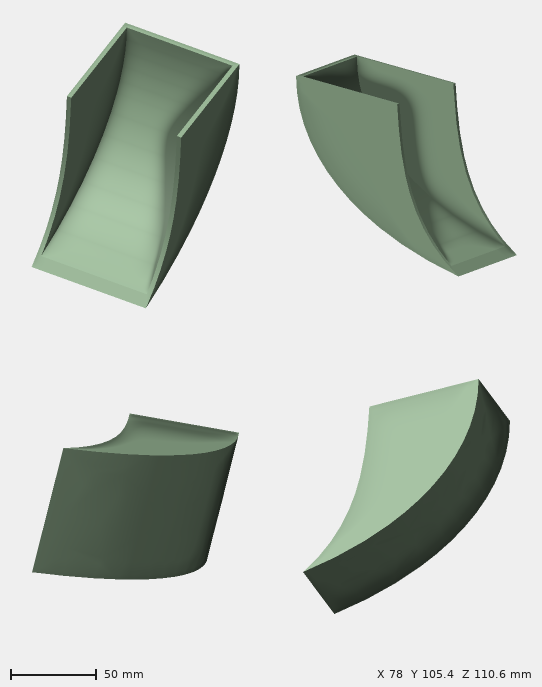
import cadquery as cq

width = 78.0
depth = 105.4
height = 110.6
wall = 3.0

tip = (0.0, 0.0)
back_top = (depth, height)
front_top = (39.8, 98.9)

back_handle = (depth, 63.7)
floor_handle = (65.0, 22.6)
front_lower_handle = (33.4, 27.8)
front_upper_handle = (37.6, 64.0)


def make_solid_scoop():
    """Full-width body bounded by the curved back, curved front and sloping rim."""
    return (
        cq.Workplane("YZ", origin=(-width / 2, 0, 0))
        .moveTo(*back_top)
        .bezier([back_top, back_handle, floor_handle, tip])
        .bezier([tip, front_lower_handle, front_upper_handle, front_top])
        .close()
        .extrude(width)
    )


scoop = make_solid_scoop()
front_middle = (0.0, front_upper_handle[0], front_upper_handle[1])
open_faces = scoop.faces(">Z").add(scoop.faces(cq.NearestToPointSelector(front_middle)))
result = open_faces.shell(-wall)